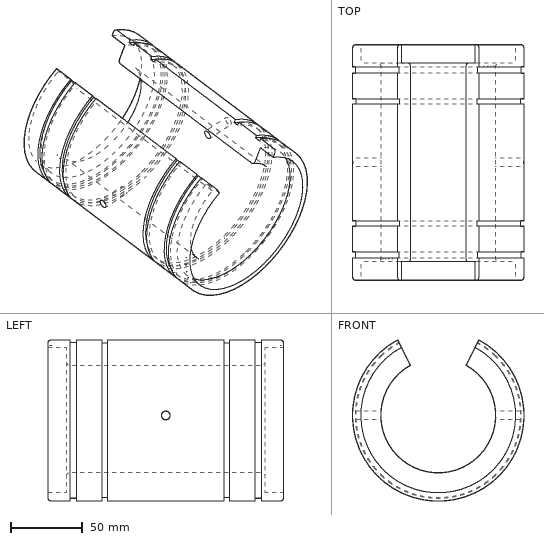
import cadquery as cq
import math

length = 164.6
outer_radius = 60.0
bore_radius = 40.0
recess_radius = 54.0
recess_depth = 13.0
edge_round = 2.5

end_groove = (15.6, 4.3, 2.0)
inner_groove = (37.9, 3.6, 2.5)

opening_half_width_outside = 28.3
opening_half_width_bore = 19.5

side_hole_radius = 3.0


def cylinder(radius, start, height):
    """Solid cylinder on the Y axis, running from y = start toward +Y."""
    return cq.Workplane("XZ", origin=(0, start, 0)).circle(radius).extrude(-height)


def make_sleeve():
    """Tube with rounded outer rims, a recess in each end and a rounded bore mouth."""
    half_length = length / 2
    sleeve = cylinder(outer_radius, -half_length, length).edges().fillet(edge_round)

    bored_core_length = length - 2 * recess_depth
    core = cylinder(recess_radius, -bored_core_length / 2, bored_core_length)
    core = core.cut(cylinder(bore_radius, -half_length, length))
    core = core.edges(cq.selectors.RadiusNthSelector(0)).fillet(edge_round)

    return sleeve.cut(cylinder(recess_radius, -half_length, length)).union(core)


def make_groove(distance, width, depth):
    """Matching ring cutters at both ends of the sleeve."""
    start = length / 2 - distance - width
    ring = cylinder(outer_radius + depth, start, width)
    ring = ring.cut(cylinder(outer_radius - depth, start, width))
    return ring.union(ring.mirror("XZ"))


def make_opening():
    """Wedge that opens the sleeve upward over its full length."""
    outside_z = math.sqrt(outer_radius**2 - opening_half_width_outside**2)
    bore_z = math.sqrt(bore_radius**2 - opening_half_width_bore**2)
    spread = (opening_half_width_outside - opening_half_width_bore) / (outside_z - bore_z)

    top_z = 2 * outer_radius
    top_half_width = opening_half_width_bore + spread * (top_z - bore_z)
    bottom_half_width = opening_half_width_bore - spread * bore_z
    return (
        cq.Workplane("XZ")
        .moveTo(-bottom_half_width, 0)
        .lineTo(-top_half_width, top_z)
        .lineTo(top_half_width, top_z)
        .lineTo(bottom_half_width, 0)
        .close()
        .extrude(length, both=True)
    )


result = make_sleeve()
for groove in (end_groove, inner_groove):
    result = result.cut(make_groove(*groove))
result = result.cut(make_opening())

side_holes = cq.Workplane("YZ").circle(side_hole_radius).extrude(2 * outer_radius, both=True)
result = result.cut(side_holes)